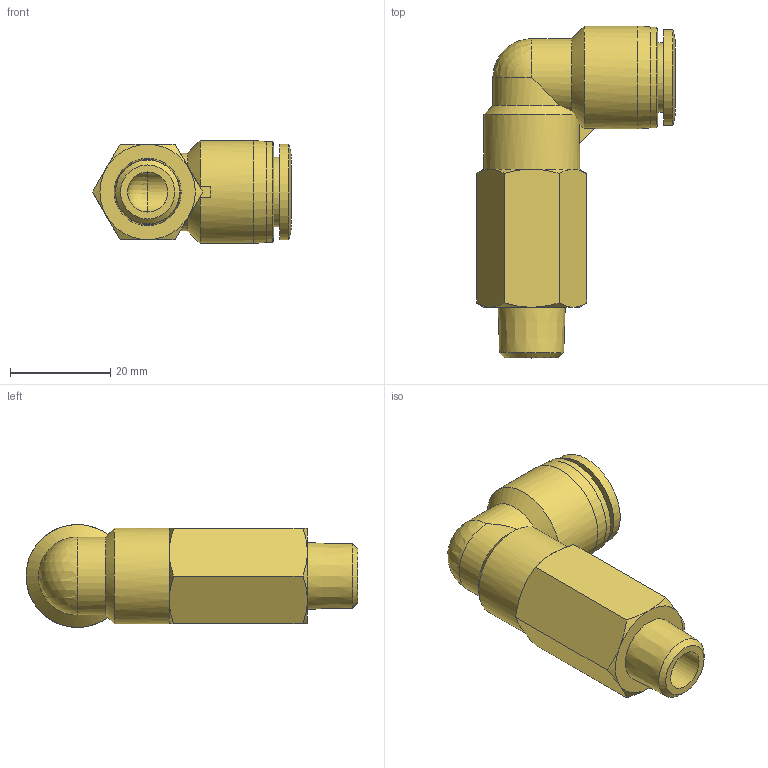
import cadquery as cq
import math

elbow_radius = 7.75
bore_radius = 4.0

collar_radius = 9.55
collar_start = 5.6
collar_cone_length = 1.75
collar_cone_end = collar_start + collar_cone_length
hex_start = 18.3
hex_end = 45.8
hex_sides = 6
hex_across_flats = 19.0
hex_across_corners = hex_across_flats / math.cos(math.pi / hex_sides)
hex_chamfer_angle = 30.0
envelope_clearance = 1.0
thread_end = 55.9
thread_tip_chamfer = 1.0
thread_root_radius = 6.68
thread_taper = 1 / 32

body_radius = 10.25
body_cone_start = 7.95
body_cone_end = body_cone_start + body_radius - elbow_radius
cap_start = 21.1
cap_line = 23.7
cap_end = 25.15
cap_radius = 10.05
cap_face_slope_length = 0.2
cap_face_radius = 8.8
release_neck_radius = 6.95
release_start = 26.3
release_end = 28.65
release_radius = 9.55
release_face_slope_length = 0.5
release_face_radius = 7.3

rib_thickness = 2.2
rib_outlet_reach = 12.5


def revolve_along_x(profile):
    """Turn a list of (distance, radius) points around the X axis."""
    start = profile[0][0]
    end = profile[-1][0]
    outline = [(start, 0)] + profile + [(end, 0)]
    return cq.Workplane("XY").polyline(outline).close().revolve(360, (0, 0, 0), (1, 0, 0))


def revolve_along_minus_y(profile):
    """Turn a list of (distance, radius) points around the -Y axis."""
    return revolve_along_x(profile).rotate((0, 0, 0), (0, 0, 1), -90)


def make_collar():
    return revolve_along_minus_y([
        (0, elbow_radius),
        (collar_start, elbow_radius),
        (collar_cone_end, collar_radius),
        (hex_start, collar_radius),
    ])


def make_hexagon():
    """Hexagonal prism with both ends turned to a cone that starts at the flats."""
    flat_radius = hex_across_flats / 2
    outer_radius = hex_across_corners / 2 + envelope_clearance
    chamfer_length = (outer_radius - flat_radius) * math.tan(math.radians(hex_chamfer_angle))
    prism = (
        cq.Workplane("XZ", origin=(0, -hex_start, 0))
        .polygon(hex_sides, hex_across_corners)
        .extrude(hex_end - hex_start)
    )
    envelope = revolve_along_minus_y([
        (hex_start, flat_radius),
        (hex_start + chamfer_length, outer_radius),
        (hex_end - chamfer_length, outer_radius),
        (hex_end, flat_radius),
    ])
    return prism.intersect(envelope)


def make_thread_blank():
    chamfer_start = thread_end - thread_tip_chamfer
    tip_radius = thread_root_radius - (chamfer_start - hex_end) * thread_taper
    return revolve_along_minus_y([
        (hex_end, thread_root_radius),
        (chamfer_start, tip_radius),
        (thread_end, tip_radius - thread_tip_chamfer),
    ])


def make_outlet():
    return revolve_along_x([
        (0, elbow_radius),
        (body_cone_start, elbow_radius),
        (body_cone_end, body_radius),
        (cap_start, body_radius),
        (cap_line, cap_radius),
        (cap_end - cap_face_slope_length, cap_radius),
        (cap_end, cap_face_radius),
        (cap_end, release_neck_radius),
        (release_start, release_neck_radius),
        (release_start, release_radius),
        (release_end - release_face_slope_length, release_radius),
        (release_end, release_face_radius),
    ])


def make_rib():
    """Triangular gusset with a 45 degree outer edge, running into both legs."""
    edge_sum = rib_outlet_reach + body_radius
    inner = elbow_radius
    return (
        cq.Workplane("XY", origin=(0, 0, -rib_thickness / 2))
        .polyline([(inner, -inner), (edge_sum - inner, -inner), (inner, inner - edge_sum)])
        .close()
        .extrude(rib_thickness)
    )


def make_bore():
    outlet_bore = revolve_along_x([(0, bore_radius), (release_end, bore_radius)])
    inlet_bore = revolve_along_minus_y([(0, bore_radius), (thread_end, bore_radius)])
    return outlet_bore.union(inlet_bore).union(cq.Workplane("XY").sphere(bore_radius))


result = (
    cq.Workplane("XY")
    .sphere(elbow_radius)
    .union(make_collar())
    .union(make_outlet())
    .union(make_hexagon())
    .union(make_thread_blank())
    .union(make_rib())
    .cut(make_bore())
)